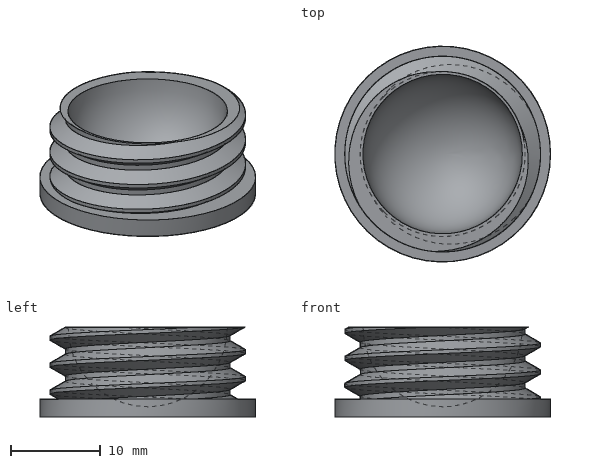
import cadquery as cq
import math

flange_diameter = 24.0
flange_thickness = 2.0
total_height = 10.0

crest_diameter = 21.77
root_diameter = 18.34
pitch = 3.0
flank_angle = 30.0
crest_width = 0.42
crest_height_at_x_axis = 2.02
groove_overshoot = 0.2

bowl_radius = 8.86

crest_radius = crest_diameter / 2
root_radius = root_diameter / 2
flank_slope = math.tan(math.radians(flank_angle))
groove_mouth_width = pitch - crest_width
root_width = groove_mouth_width - 2 * (crest_radius - root_radius) * flank_slope


def disc(diameter, bottom, top):
    """Upright cylinder on the Z axis between two heights."""
    return cq.Workplane("XY").workplane(offset=bottom).circle(diameter / 2).extrude(top - bottom)


def thread_groove():
    """Helical V groove with a flat root, run past both ends of the neck."""
    first_root_height = crest_height_at_x_axis - pitch / 2
    start = first_root_height - pitch
    turns = math.ceil((total_height - start) / pitch) + 1
    helix = cq.Wire.makeHelix(pitch, turns * pitch, root_radius, center=cq.Vector(0, 0, start))
    outer_radius = crest_radius + groove_overshoot
    half_root = root_width / 2
    half_outer = groove_mouth_width / 2 + groove_overshoot * flank_slope
    profile = cq.Workplane("XZ").polyline([
        (root_radius, start - half_root),
        (outer_radius, start - half_outer),
        (outer_radius, start + half_outer),
        (root_radius, start + half_root),
    ]).close()
    return profile.sweep(cq.Workplane(obj=helix), isFrenet=True)


def threaded_neck():
    return disc(crest_diameter, flange_thickness, total_height).cut(thread_groove())


def bowl():
    """Sphere centred on the top face, which leaves a hemispherical hollow."""
    return cq.Workplane("XY").workplane(offset=total_height).sphere(bowl_radius)


flange = disc(flange_diameter, 0, flange_thickness)
result = flange.union(threaded_neck()).cut(bowl())